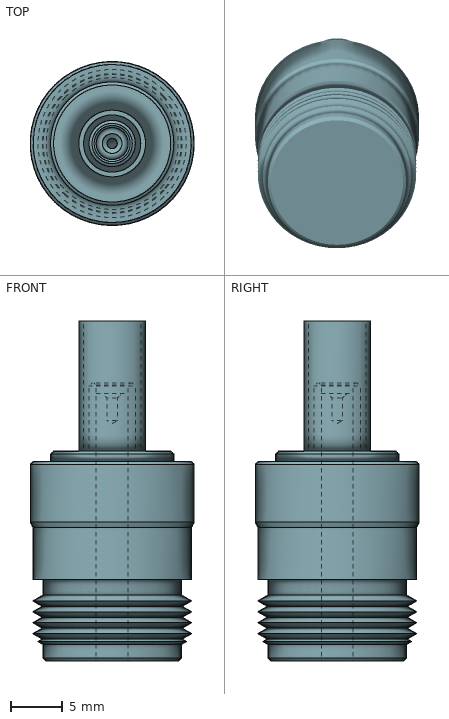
import cadquery as cq
import math

overall_height = 33.2
neck_top = 7.97
step_bottom = 13.05
step_top = 13.58
shoulder_top = 19.5
flange_top = 20.5

body_radius = 8.0
lower_body_radius = 7.75
neck_radius = 6.75
flange_radius = 6.0
edge_chamfer = 0.3

thread_crest_radius = lower_body_radius
thread_pitch = 1.05
thread_ridges = 4
first_crest_height = 2.7
runout_crest_radius = 7.25
flank_angle = 30
flank_slope = math.tan(math.radians(flank_angle))

stem_radius = 2.25
stem_length = 6.65
stem_outer_chamfer = 0.3
stem_inner_chamfer = 0.2

ferrule_outer_radius = 3.25
ferrule_inner_radius = 2.8

contact_radius = 1.55
contact_recess = 1.0
cup_mouth_radius = 0.95
cup_radius = 0.5
cup_depth = 2.65
cup_tip_angle = 120

stem_top = flange_top + stem_length
contact_top = stem_top - contact_recess


def revolve_profile(points):
    """Turn (radius, height) points into a solid of revolution about Z."""
    return cq.Workplane("XZ").polyline(points).close().revolve(360, (0, 0, 0), (0, 1, 0))


def thread_profile():
    """Thread outline from the neck below the run-out ridge to the neck above the last crest."""
    root_radius = thread_crest_radius - thread_pitch / 2 / flank_slope
    first_root_height = first_crest_height - thread_pitch / 2
    runout_height = first_root_height - (runout_crest_radius - root_radius) * flank_slope
    start_height = runout_height - (runout_crest_radius - neck_radius) * flank_slope

    points = [(neck_radius, start_height), (runout_crest_radius, runout_height)]
    for ridge in range(thread_ridges):
        crest_height = first_crest_height + ridge * thread_pitch
        points.append((root_radius, crest_height - thread_pitch / 2))
        points.append((thread_crest_radius, crest_height))
    end_height = crest_height + (thread_crest_radius - neck_radius) * flank_slope
    points.append((neck_radius, end_height))
    return points


def make_housing():
    """Threaded housing with shoulder, flange and stem, bored through for the contact."""
    profile = [
        (contact_radius, 0),
        (neck_radius - edge_chamfer, 0),
        (neck_radius, edge_chamfer),
        *thread_profile(),
        (neck_radius, neck_top),
        (lower_body_radius, neck_top),
        (lower_body_radius, step_bottom),
        (body_radius, step_top),
        (body_radius, shoulder_top - edge_chamfer),
        (body_radius - edge_chamfer, shoulder_top),
        (flange_radius, shoulder_top),
        (flange_radius, flange_top - edge_chamfer),
        (flange_radius - edge_chamfer, flange_top),
        (stem_radius, flange_top),
        (stem_radius, stem_top - stem_outer_chamfer),
        (stem_radius - stem_outer_chamfer, stem_top),
        (contact_radius + stem_inner_chamfer, stem_top),
        (contact_radius, stem_top - stem_inner_chamfer),
    ]
    return revolve_profile(profile)


def make_ferrule():
    """Plain crimp tube standing on the flange around the stem."""
    return (
        cq.Workplane("XY", origin=(0, 0, flange_top))
        .circle(ferrule_outer_radius)
        .circle(ferrule_inner_radius)
        .extrude(overall_height - flange_top)
    )


def make_contact():
    """Round contact filling the housing bore, with a countersunk wire cup in its top."""
    countersink_depth = cup_mouth_radius - cup_radius
    tip_depth = cup_radius / math.tan(math.radians(cup_tip_angle / 2))
    profile = [
        (0, 0),
        (contact_radius, 0),
        (contact_radius, contact_top),
        (cup_mouth_radius, contact_top),
        (cup_radius, contact_top - countersink_depth),
        (cup_radius, contact_top - cup_depth),
        (0, contact_top - cup_depth - tip_depth),
    ]
    return revolve_profile(profile)


housing = make_housing()
ferrule = make_ferrule()
contact = make_contact()

result = cq.Compound.makeCompound([housing.val(), ferrule.val(), contact.val()])